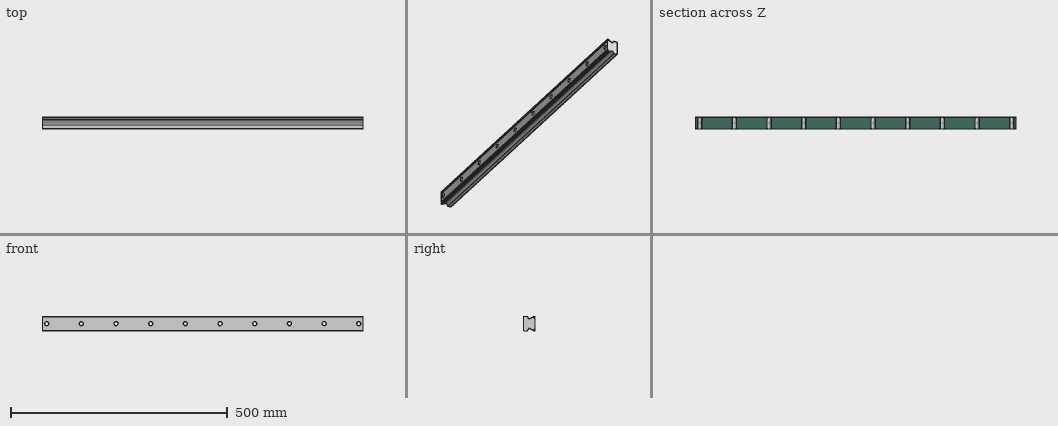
import cadquery as cq
import math

length = 740.0
height = 27.5
width = 34.0

hole_diameter = 9.0
hole_pitch = 80.0
hole_count = 10

valley_height = 13.25
valley_width = 21.4
valley_fillet = 1.0
flank_angle = math.radians(30)
flank_end_height = 20.75

base_chamfer = 1.5
head_chamfer = 1.0
lip_height = 23.35

flank_raceway_depth = 1.0
head_raceway_depth = 1.95
head_raceway_width = 3.4
lip_thickness = 1.7

base_y = -height / 2
head_y = height / 2
side_z = width / 2
valley_y = base_y + valley_height
valley_z = valley_width / 2


def half_rail():
    """The +Z half of the rail, with sharp groove bottoms and no holes."""
    shoulder_y = valley_y - (side_z - valley_z) * math.tan(flank_angle)
    flank_end_y = base_y + flank_end_height
    flank_end_z = valley_z + (flank_end_y - valley_y) * math.tan(flank_angle)
    raceway_outer_z = side_z - lip_thickness
    raceway_inner_z = raceway_outer_z - head_raceway_width
    profile = (
        cq.Workplane("YZ")
        .moveTo(base_y, 0)
        .lineTo(base_y, side_z - base_chamfer)
        .lineTo(base_y + base_chamfer, side_z)
        .lineTo(shoulder_y, side_z)
        .lineTo(valley_y, valley_z)
        .lineTo(flank_end_y, flank_end_z)
        .sagittaArc((base_y + lip_height, side_z), -flank_raceway_depth)
        .lineTo(head_y - head_chamfer, side_z)
        .lineTo(head_y, side_z - head_chamfer)
        .lineTo(head_y, raceway_outer_z)
        .sagittaArc((head_y, raceway_inner_z), -head_raceway_depth)
        .lineTo(head_y, 0)
        .close()
    )
    return profile.extrude(length / 2, both=True)


def rail_body():
    """Both halves joined, with the bottoms of the two side grooves rounded."""
    half = half_rail()
    body = half.union(half.mirror("XY"))
    for z in (valley_z, -valley_z):
        valley_edge = cq.selectors.NearestToPointSelector((0, valley_y, z))
        body = body.edges(valley_edge).fillet(valley_fillet)
    return body


def mounting_holes():
    """Plain holes through the full height of the rail."""
    first_x = -hole_pitch * (hole_count - 1) / 2
    centres = [(first_x + i * hole_pitch, 0) for i in range(hole_count)]
    return (
        cq.Workplane("XZ")
        .pushPoints(centres)
        .circle(hole_diameter / 2)
        .extrude(height, both=True)
    )


result = rail_body().cut(mounting_holes())